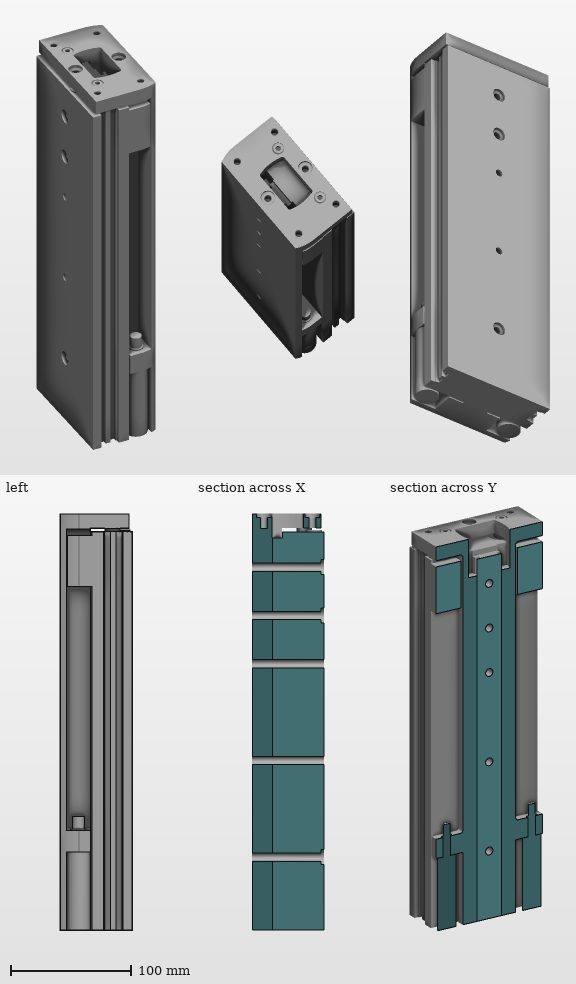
import cadquery as cq
import math


WIDTH = 104.0
DEPTH = 60.0
HEIGHT = 345.8
HALF_WIDTH = WIDTH / 2
OVERCUT = 3.5

HOLE_PITCH = 40.0

SIDE_ARC_DEPTH = 16.0
SIDE_ARC_INSET = 3.8
SIDE_ARC_RADIUS = (SIDE_ARC_DEPTH**2 + SIDE_ARC_INSET**2) / (2 * SIDE_ARC_INSET)

PLATE_DEPTH = 57.5
PLATE_BOTTOM = 333.7
HEAD_POCKET_TOP = 333.0
BACK_WALL = 5.2
CARRIAGE_FACE_DEPTH = 25.2
CARRIAGE_HALF_WIDTH = 26.0
STOP_BLOCK_BOTTOM = 65.0
STOP_BLOCK_TOP = 83.0
POCKET_FILLET = 2.5

OPENING_BACK_DEPTH = 17.0
OPENING_LENGTH = 25.5
OPENING_HALF_WIDTH = 21.5
OPENING_END_HALF_WIDTH = 19.5
OPENING_CORNER_RADIUS = 1.7
OPENING_FLOOR = 311.2

PLATE_HOLE_BACK_DEPTH = 10.0
PLATE_HOLE_DIAMETER = 5.5
PLATE_HOLE_MOUTH_DIAMETER = 6.5
SEAT_DIAMETER = 12.0
SEAT_DEPTH = 2.8

HOUSING_TOP = 331.0
HOUSING_BACK_DEPTH = 26.5
HEAD_BACK_DEPTH = 6.2
HEAD_BOTTOM = 285.3
HEAD_TOP = 327.8
HEAD_CLEARANCE = 1.5
SENSOR_SLOT_DEPTH = 44.3
SENSOR_SLOT_WIDTH = 16.3
SENSOR_SLOT_INSET = 3.8
SENSOR_CORE_WIDTH = 14.5
SENSOR_CORE_INSET = 7.3
SENSOR_RIB_WIDTH = 4.5
PLUG_DIAMETER = 12.8
PLUG_X = 8.0
PLUG_DEPTH = 52.0
PLUG_HEIGHT = 1.5

RAIL_HALF_WIDTH = 12.0
RAIL_TOP = 326.0
RAIL_GROOVE_INSET = 3.5
RAIL_GROOVE_START_DEPTH = 19.0
RAIL_GROOVE_WIDTH = 2.8

MOUNT_TOP_Z = 301.5
SEAT_STEPS = (0, 1, 6)
PLAIN_STEPS = (2, 4)
MOUNT_DIAMETER = 6.5

ROD_X = 27.3
ROD_DEPTH = 43.5
ROD_DIAMETER = 12.8
ROD_BOTTOM = 294.0
ROD_HEAD_DIAMETER = 10.0
ROD_HEAD_CHAMFER = 1.0
SOCKET_ACROSS_FLATS = 4.0
SOCKET_DEPTH = 3.5
BORE_DIAMETER = 25.0
BORE_RECESS = 1.7

SHOCK_X = 41.5
SHOCK_DEPTH = 15.2
SHOCK_DIAMETER = 20.0
SHOCK_STUD_DIAMETER = 10.0
SHOCK_STUD_TOP = 94.5
SHOCK_COLLAR_DIAMETER = 12.8
SHOCK_COLLAR_HEIGHT = 1.5


def box(x0, x1, depth0, depth1, z0, z1):
    """Box between two X values, two depths from the back face and two heights."""
    return (
        cq.Workplane("XY")
        .box(x1 - x0, depth1 - depth0, z1 - z0, centered=False)
        .translate((x0, -depth1, z0))
    )


def post(x, depth, diameter, z0, z1):
    """Round post along Z."""
    return (
        cq.Workplane("XY", origin=(x, -depth, z0))
        .circle(diameter / 2)
        .extrude(z1 - z0)
    )


def curved_block(depth, z0, z1):
    """Full-width block whose long sides curve inwards towards the back face."""
    back_half_width = HALF_WIDTH - SIDE_ARC_INSET
    mid_inset = SIDE_ARC_RADIUS - math.sqrt(SIDE_ARC_RADIUS**2 - (SIDE_ARC_DEPTH / 2) ** 2)
    mid_half_width = HALF_WIDTH - mid_inset
    return (
        cq.Workplane("XY", origin=(0, 0, z0))
        .moveTo(-back_half_width, 0)
        .lineTo(back_half_width, 0)
        .threePointArc((mid_half_width, -SIDE_ARC_DEPTH / 2), (HALF_WIDTH, -SIDE_ARC_DEPTH))
        .lineTo(HALF_WIDTH, -depth)
        .lineTo(-HALF_WIDTH, -depth)
        .lineTo(-HALF_WIDTH, -SIDE_ARC_DEPTH)
        .threePointArc((-mid_half_width, -SIDE_ARC_DEPTH / 2), (-back_half_width, 0))
        .close()
        .extrude(z1 - z0)
    )


def mirrored(solid):
    """The shape together with its mirror image across the YZ plane."""
    return solid.union(solid.mirror("YZ"))


def mount_holes(steps, diameter, depth0, depth1):
    """Cylinders along Y at the given steps of the hole pitch."""
    points = [(0, MOUNT_TOP_Z - step * HOLE_PITCH) for step in steps]
    return (
        cq.Workplane("XZ", origin=(0, -depth0, 0))
        .pushPoints(points)
        .circle(diameter / 2)
        .extrude(depth1 - depth0)
    )


def make_rail():
    """Rail with a groove in each flank; it slides in a matching carriage slot."""
    rail = box(
        -RAIL_HALF_WIDTH, RAIL_HALF_WIDTH, OPENING_BACK_DEPTH, CARRIAGE_FACE_DEPTH, 0, RAIL_TOP
    )
    groove = box(
        RAIL_HALF_WIDTH - RAIL_GROOVE_INSET,
        RAIL_HALF_WIDTH + OVERCUT,
        RAIL_GROOVE_START_DEPTH,
        RAIL_GROOVE_START_DEPTH + RAIL_GROOVE_WIDTH,
        0,
        RAIL_TOP,
    )
    return rail.cut(mirrored(groove))


def make_shock_absorber(side):
    """Cylinder below the stop block with a collared stud through the block."""
    x = side * SHOCK_X
    body = post(x, SHOCK_DEPTH, SHOCK_DIAMETER, 0, STOP_BLOCK_BOTTOM)
    stud = post(x, SHOCK_DEPTH, SHOCK_STUD_DIAMETER, STOP_BLOCK_BOTTOM, SHOCK_STUD_TOP)
    collar = post(
        x, SHOCK_DEPTH, SHOCK_COLLAR_DIAMETER, STOP_BLOCK_TOP, STOP_BLOCK_TOP + SHOCK_COLLAR_HEIGHT
    )
    return body.union(stud).union(collar)


def make_rod(side):
    """Piston rod with a socket head that fills its hole in the yoke plate."""
    x = side * ROD_X
    rod = post(x, ROD_DEPTH, ROD_DIAMETER, ROD_BOTTOM, PLATE_BOTTOM)
    head = post(x, ROD_DEPTH, ROD_HEAD_DIAMETER, PLATE_BOTTOM, HEIGHT)
    head = head.faces(">Z").chamfer(ROD_HEAD_CHAMFER)
    socket = (
        cq.Workplane("XY", origin=(x, -ROD_DEPTH, HEIGHT - SOCKET_DEPTH))
        .polygon(6, SOCKET_ACROSS_FLATS, circumscribed=True)
        .extrude(SOCKET_DEPTH)
    )
    return rod.union(head).cut(socket)


def make_opening():
    """Opening with bulged ends, through the plate and into the carriage."""
    front_depth = OPENING_BACK_DEPTH + OPENING_LENGTH
    middle_depth = OPENING_BACK_DEPTH + OPENING_LENGTH / 2
    return (
        cq.Workplane("XY", origin=(0, 0, OPENING_FLOOR))
        .moveTo(-OPENING_END_HALF_WIDTH, -OPENING_BACK_DEPTH)
        .lineTo(OPENING_END_HALF_WIDTH, -OPENING_BACK_DEPTH)
        .threePointArc((OPENING_HALF_WIDTH, -middle_depth), (OPENING_END_HALF_WIDTH, -front_depth))
        .lineTo(-OPENING_END_HALF_WIDTH, -front_depth)
        .threePointArc(
            (-OPENING_HALF_WIDTH, -middle_depth), (-OPENING_END_HALF_WIDTH, -OPENING_BACK_DEPTH)
        )
        .close()
        .extrude(HEIGHT - OPENING_FLOOR)
        .edges("|Z")
        .fillet(OPENING_CORNER_RADIUS)
    )


def plate_hole(x, depth, top):
    """Hole through the yoke plate with a 45 degree countersunk mouth."""
    countersink = (PLATE_HOLE_MOUTH_DIAMETER - PLATE_HOLE_DIAMETER) / 2
    hole = post(x, depth, PLATE_HOLE_DIAMETER, PLATE_BOTTOM, top)
    mouth = (
        cq.Workplane("XY", origin=(x, -depth, top))
        .circle(PLATE_HOLE_MOUTH_DIAMETER / 2)
        .extrude(-countersink, taper=45)
    )
    return hole.union(mouth)


def drill_plate(slide):
    """Four corner holes and two counterbored holes on the centre line."""
    for depth in (PLATE_HOLE_BACK_DEPTH, PLATE_HOLE_BACK_DEPTH + HOLE_PITCH):
        for side in (-1, 1):
            slide = slide.cut(plate_hole(side * HOLE_PITCH, depth, HEIGHT))
        slide = slide.cut(plate_hole(0, depth, HEIGHT - SEAT_DEPTH))
        slide = slide.cut(post(0, depth, SEAT_DIAMETER, HEIGHT - SEAT_DEPTH, HEIGHT))
    return slide


def make_slide():
    """Yoke plate, back wall, central carriage and two stop blocks in one piece."""
    slide = curved_block(PLATE_DEPTH, 0, HEIGHT)
    slide = slide.cut(
        box(-HALF_WIDTH, HALF_WIDTH, CARRIAGE_FACE_DEPTH, PLATE_DEPTH, 0, PLATE_BOTTOM)
    )

    side_limits = (CARRIAGE_HALF_WIDTH, HALF_WIDTH + OVERCUT, BACK_WALL, CARRIAGE_FACE_DEPTH)
    head_pocket = box(*side_limits, STOP_BLOCK_TOP, HEAD_POCKET_TOP)
    head_pocket = head_pocket.edges("<X and |Y").fillet(POCKET_FILLET)
    shock_pocket = box(*side_limits, 0, STOP_BLOCK_BOTTOM)
    slide = slide.cut(mirrored(head_pocket)).cut(mirrored(shock_pocket))

    slide = slide.cut(make_opening())
    slide = drill_plate(slide)
    slide = slide.cut(make_rail())
    slide = slide.cut(mount_holes(SEAT_STEPS + PLAIN_STEPS, MOUNT_DIAMETER, 0, OPENING_BACK_DEPTH))
    for side in (-1, 1):
        slide = slide.cut(make_shock_absorber(side))
        slide = slide.cut(post(side * ROD_X, ROD_DEPTH, ROD_HEAD_DIAMETER, PLATE_BOTTOM, HEIGHT))
    return slide


def make_sensor_slots():
    """Slot along both long sides, with a rib standing on its stepped floor."""

    def channel(width, inset):
        near = SENSOR_SLOT_DEPTH - width / 2
        far = SENSOR_SLOT_DEPTH + width / 2
        return box(HALF_WIDTH - inset, HALF_WIDTH, near, far, 0, HOUSING_TOP)

    mouth = channel(SENSOR_SLOT_WIDTH, SENSOR_SLOT_INSET)
    core = channel(SENSOR_CORE_WIDTH, SENSOR_CORE_INSET)
    rib = channel(SENSOR_RIB_WIDTH, SENSOR_CORE_INSET)
    return mirrored(core.cut(rib).union(mouth))


def make_heads():
    """Two upper heads that reach back into the side pockets of the slide."""
    block = curved_block(HOUSING_BACK_DEPTH, HEAD_BOTTOM, HEAD_TOP)
    limits = box(
        CARRIAGE_HALF_WIDTH + HEAD_CLEARANCE,
        HALF_WIDTH,
        HEAD_BACK_DEPTH,
        HOUSING_BACK_DEPTH,
        HEAD_BOTTOM,
        HEAD_TOP,
    )
    return block.intersect(mirrored(limits))


def make_housing():
    """Base with guide rail, upper heads, sensor slots and rod bores."""
    housing = box(-HALF_WIDTH, HALF_WIDTH, HOUSING_BACK_DEPTH, DEPTH, 0, HOUSING_TOP)
    rail_foot = box(
        -RAIL_HALF_WIDTH, RAIL_HALF_WIDTH, CARRIAGE_FACE_DEPTH, HOUSING_BACK_DEPTH, 0, HOUSING_TOP
    )
    plug = post(PLUG_X, PLUG_DEPTH, PLUG_DIAMETER, HOUSING_TOP, HOUSING_TOP + PLUG_HEIGHT)
    housing = housing.union(rail_foot).union(make_rail()).union(make_heads()).union(plug)

    housing = housing.cut(make_sensor_slots())
    for side in (-1, 1):
        x = side * ROD_X
        housing = housing.cut(post(x, ROD_DEPTH, BORE_DIAMETER, HOUSING_TOP - BORE_RECESS, HOUSING_TOP))
        housing = housing.cut(post(x, ROD_DEPTH, ROD_DIAMETER, ROD_BOTTOM, HOUSING_TOP))

    steps = SEAT_STEPS + PLAIN_STEPS
    housing = housing.cut(mount_holes(steps, MOUNT_DIAMETER, OPENING_BACK_DEPTH, DEPTH))
    housing = housing.cut(mount_holes(SEAT_STEPS, SEAT_DIAMETER, DEPTH - SEAT_DEPTH, DEPTH))
    return housing


housing = make_housing()
slide = make_slide()
rods = [make_rod(side) for side in (-1, 1)]
shock_absorbers = [make_shock_absorber(side) for side in (-1, 1)]

result = cq.Compound.makeCompound(
    [
        housing.val(),
        slide.val(),
        *[rod.val() for rod in rods],
        *[shock_absorber.val() for shock_absorber in shock_absorbers],
    ]
)